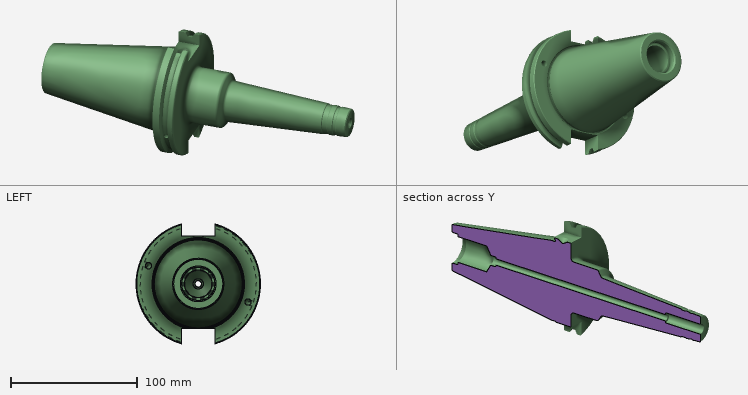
import cadquery as cq
import math

TOTAL_LENGTH = 251.5

GAUGE_X = 102.0
TAPER_RATIO = 7 / 24
GAUGE_RADIUS = 35.0
TAPER_END_RADIUS = GAUGE_RADIUS - GAUGE_X * TAPER_RATIO / 2
TAPER_END_CHAMFER = 0.8
NECK_RADIUS = 69.2 / 2
NECK_CHAMFER = 0.8

FLANGE_START_X = 103.5
FLANGE_END_X = 120.8
FLANGE_RADIUS = 98.0 / 2
FLANGE_REAR_CHAMFER = 0.5
FLANGE_FRONT_FILLET = 1.3
RELIEF_RADIUS = 36.5
RELIEF_FLOOR_RADIUS = 35.7
RELIEF_DEPTH = 1.0
VEE_CENTRE_X = 112.7
VEE_FLOOR_WIDTH = 3.5
VEE_FLOOR_RADIUS = 45.8
VEE_HALF_ANGLE = math.radians(30)
SLOT_WIDTH = 26.2
UPPER_SLOT_FLOOR = 37.7
LOWER_SLOT_FLOOR = 35.2
SLOT_DIMPLE_DIAMETER = 9.5
DRILL_POINT_HALF_ANGLE = math.radians(59)

HUB_RADIUS = 44.5 / 2
HUB_REAR_FILLET = 2.5
SHOULDER_START_X = 146.5
SHOULDER_ANGLE = math.radians(60)
SHOULDER_CREST_RADIUS = 2.5
SHOULDER_ROOT_RADIUS = 1.8

NOSE_START_X = 152.5
NOSE_ANGLE = math.radians(3)
NOSE_END_RADIUS = 11.3
NOSE_CHAMFER = 0.8
BAND_DEPTH = 0.5
BAND_SPANS = ((231.5, 236.5), (240.3, 243.3))

PILOT_DIAMETER = 26.2
PILOT_CHAMFER = 1.0
PILOT_DEPTH = 6.0
THREAD_BORE_DIAMETER = 22.0
THREAD_BORE_DEPTH = 35.2
CONE_END_DIAMETER = 8.0
CONE_END_LENGTH = 5.0
COOLANT_DIAMETER = 5.0
TOOL_BORE_DIAMETER = 8.3
TOOL_BORE_DEPTH = 35.2

FLANGE_HOLE_ANGLE = 20.0
FACE_HOLE_RADIUS = 41.8
FACE_HOLE_DIAMETER = 5.0
FACE_HOLE_DEPTH = 5.0
CROSS_HOLE_DIAMETER = 4.0
CROSS_HOLE_DEPTH = 2.5


def nose_radius(x):
    return NOSE_END_RADIUS + (TOTAL_LENGTH - x) * math.tan(NOSE_ANGLE)


def point_on_circle(centre, radius, angle):
    return (centre[0] + radius * math.cos(angle), centre[1] + radius * math.sin(angle))


def revolve(profile):
    """Close the profile and turn it about the tool axis."""
    return profile.close().revolve(360, (0, 0, 0), (1, 0, 0))


def make_body():
    crest_centre = (SHOULDER_START_X, HUB_RADIUS - SHOULDER_CREST_RADIUS)
    crest_end = point_on_circle(crest_centre, SHOULDER_CREST_RADIUS, math.pi / 2 - SHOULDER_ANGLE)
    crest_mid = point_on_circle(crest_centre, SHOULDER_CREST_RADIUS, math.pi / 2 - SHOULDER_ANGLE / 2)
    root_centre = (NOSE_START_X, nose_radius(NOSE_START_X) + SHOULDER_ROOT_RADIUS)
    root_start = point_on_circle(root_centre, SHOULDER_ROOT_RADIUS, -math.pi / 2 - SHOULDER_ANGLE)
    root_mid = point_on_circle(root_centre, SHOULDER_ROOT_RADIUS, -math.pi / 2 - SHOULDER_ANGLE / 2)
    fillet_centre = (FLANGE_END_X + HUB_REAR_FILLET, HUB_RADIUS + HUB_REAR_FILLET)
    edge_centre = (FLANGE_END_X - FLANGE_FRONT_FILLET, FLANGE_RADIUS - FLANGE_FRONT_FILLET)
    edge_mid = point_on_circle(edge_centre, FLANGE_FRONT_FILLET, math.pi / 4)
    fillet_mid = point_on_circle(fillet_centre, HUB_REAR_FILLET, 1.25 * math.pi)
    chamfer_top_radius = TAPER_END_RADIUS + TAPER_END_CHAMFER * TAPER_RATIO / 2
    profile = (
        cq.Workplane("XY")
        .moveTo(0, 0)
        .lineTo(0, TAPER_END_RADIUS - TAPER_END_CHAMFER)
        .lineTo(TAPER_END_CHAMFER, chamfer_top_radius)
        .lineTo(GAUGE_X, GAUGE_RADIUS)
        .lineTo(GAUGE_X + NECK_CHAMFER, NECK_RADIUS)
        .lineTo(FLANGE_START_X + RELIEF_DEPTH, NECK_RADIUS)
        .lineTo(FLANGE_START_X + RELIEF_DEPTH, RELIEF_FLOOR_RADIUS)
        .lineTo(FLANGE_START_X, RELIEF_RADIUS)
        .lineTo(FLANGE_START_X, FLANGE_RADIUS - FLANGE_REAR_CHAMFER)
        .lineTo(FLANGE_START_X + FLANGE_REAR_CHAMFER, FLANGE_RADIUS)
        .lineTo(edge_centre[0], FLANGE_RADIUS)
        .threePointArc(edge_mid, (FLANGE_END_X, edge_centre[1]))
        .lineTo(FLANGE_END_X, fillet_centre[1])
        .threePointArc(fillet_mid, (fillet_centre[0], HUB_RADIUS))
        .lineTo(SHOULDER_START_X, HUB_RADIUS)
        .threePointArc(crest_mid, crest_end)
        .lineTo(*root_start)
        .threePointArc(root_mid, (NOSE_START_X, nose_radius(NOSE_START_X)))
        .lineTo(TOTAL_LENGTH - NOSE_CHAMFER, nose_radius(TOTAL_LENGTH - NOSE_CHAMFER))
        .lineTo(TOTAL_LENGTH, NOSE_END_RADIUS - NOSE_CHAMFER)
        .lineTo(TOTAL_LENGTH, 0)
    )
    return revolve(profile)


def make_vee_groove():
    floor_half = VEE_FLOOR_WIDTH / 2
    mouth_half = floor_half + (FLANGE_RADIUS - VEE_FLOOR_RADIUS) * math.tan(VEE_HALF_ANGLE)
    profile = cq.Workplane("XY").polyline(
        [
            (VEE_CENTRE_X - floor_half, VEE_FLOOR_RADIUS),
            (VEE_CENTRE_X + floor_half, VEE_FLOOR_RADIUS),
            (VEE_CENTRE_X + mouth_half, FLANGE_RADIUS),
            (VEE_CENTRE_X - mouth_half, FLANGE_RADIUS),
        ]
    )
    return revolve(profile)


def make_nose_band(start, end):
    """Shallow ring groove with 45 degree walls."""
    floor_start = start + BAND_DEPTH
    floor_end = end - BAND_DEPTH
    profile = cq.Workplane("XY").polyline(
        [
            (start, nose_radius(start)),
            (floor_start, nose_radius(floor_start) - BAND_DEPTH),
            (floor_end, nose_radius(floor_end) - BAND_DEPTH),
            (end, nose_radius(end)),
            (end, nose_radius(start)),
        ]
    )
    return revolve(profile)


def make_axial_bore():
    pilot_radius = PILOT_DIAMETER / 2
    thread_radius = THREAD_BORE_DIAMETER / 2
    cone_end_radius = CONE_END_DIAMETER / 2
    coolant_radius = COOLANT_DIAMETER / 2
    tool_radius = TOOL_BORE_DIAMETER / 2
    cone_end_x = THREAD_BORE_DEPTH + (thread_radius - cone_end_radius) / math.tan(DRILL_POINT_HALF_ANGLE)
    step_x = cone_end_x + CONE_END_LENGTH
    tool_x = TOTAL_LENGTH - TOOL_BORE_DEPTH
    profile = cq.Workplane("XY").polyline(
        [
            (0, 0),
            (0, pilot_radius + PILOT_CHAMFER),
            (PILOT_CHAMFER, pilot_radius),
            (PILOT_DEPTH, pilot_radius),
            (PILOT_DEPTH, thread_radius),
            (THREAD_BORE_DEPTH, thread_radius),
            (cone_end_x, cone_end_radius),
            (step_x, cone_end_radius),
            (step_x, coolant_radius),
            (tool_x, coolant_radius),
            (tool_x, tool_radius),
            (TOTAL_LENGTH, tool_radius),
            (TOTAL_LENGTH, 0),
        ]
    )
    return revolve(profile)


def make_drive_slot(floor):
    """Slot across the flange on the +Z side, open outward from the given floor height."""
    height = FLANGE_RADIUS - floor
    slot = cq.Workplane("XY").box(
        FLANGE_END_X - FLANGE_START_X, SLOT_WIDTH, height, centered=(False, True, False)
    )
    return slot.translate((FLANGE_START_X, 0, floor))


def make_slot_dimple():
    """Conical drill-point recess in the middle of the upper slot floor."""
    radius = SLOT_DIMPLE_DIAMETER / 2
    tip_z = UPPER_SLOT_FLOOR - radius / math.tan(DRILL_POINT_HALF_ANGLE)
    dimple = (
        cq.Workplane("XZ")
        .polyline([(0, UPPER_SLOT_FLOOR), (radius, UPPER_SLOT_FLOOR), (0, tip_z)])
        .close()
        .revolve(360, (0, 0, 0), (0, 1, 0))
    )
    return dimple.translate(((FLANGE_START_X + FLANGE_END_X) / 2, 0, 0))


def drilled_hole(diameter, wall_depth):
    """Hole along +X from the YZ plane at X = 0, ending in a conical drill point."""
    radius = diameter / 2
    tip = wall_depth + radius / math.tan(DRILL_POINT_HALF_ANGLE)
    return revolve(cq.Workplane("XY").polyline([(0, 0), (0, radius), (wall_depth, radius), (tip, 0)]))


def make_flange_holes(angle):
    face = drilled_hole(FACE_HOLE_DIAMETER, FACE_HOLE_DEPTH)
    face = face.translate((FLANGE_START_X, FACE_HOLE_RADIUS, 0))
    cross = drilled_hole(CROSS_HOLE_DIAMETER, CROSS_HOLE_DEPTH)
    cross = cross.rotate((0, 0, 0), (0, 0, 1), -90).translate((VEE_CENTRE_X, VEE_FLOOR_RADIUS, 0))
    return face.union(cross).rotate((0, 0, 0), (1, 0, 0), angle)


result = make_body().cut(make_vee_groove())
for span in BAND_SPANS:
    result = result.cut(make_nose_band(*span))
result = result.cut(make_axial_bore())
result = result.cut(make_drive_slot(UPPER_SLOT_FLOOR))
result = result.cut(make_drive_slot(LOWER_SLOT_FLOOR).rotate((0, 0, 0), (1, 0, 0), 180))
result = result.cut(make_slot_dimple())
for angle in (FLANGE_HOLE_ANGLE, FLANGE_HOLE_ANGLE + 180):
    result = result.cut(make_flange_holes(angle))